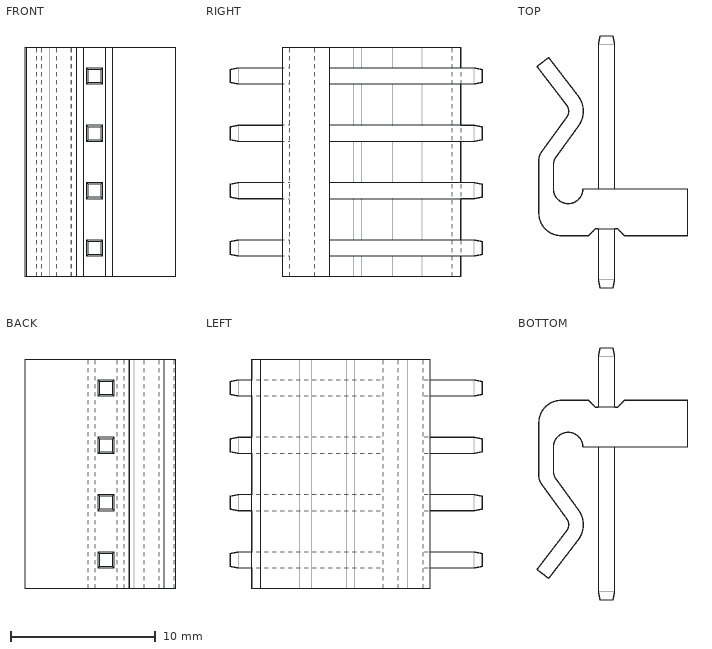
import cadquery as cq
import math


height = 15.83
base_depth = 3.24
base_right = 5.6
arm_left = -4.68
wall = 1.03
heel_radius = 1.57

relief_radius = 1.01
relief_center_x = arm_left + wall + relief_radius
relief_center_y = base_depth

groove_depth = 0.49
groove_floor_width = 1.53
groove_mouth_width = 2.47

lower_angle = math.radians(36.0)
upper_angle = math.radians(37.5)
lower_bend_y = 5.53
upper_bend_y = 8.61
tip_y = 11.7
lower_bend_radius = 0.94
upper_bend_radius = 0.7

pin_count = 4
pin_pitch = height / pin_count
pin_width = 1.13
pin_tip_width = 0.9
pin_taper = 0.57
pin_length = 17.4
pin_front = -3.6


def make_base():
    """Base block with the groove in front and the relief at the back."""
    floor = groove_floor_width / 2
    mouth = groove_mouth_width / 2
    base = (
        cq.Workplane("XY")
        .moveTo(arm_left, 0)
        .lineTo(-mouth, 0)
        .lineTo(-floor, groove_depth)
        .lineTo(floor, groove_depth)
        .lineTo(mouth, 0)
        .lineTo(base_right, 0)
        .lineTo(base_right, base_depth)
        .lineTo(arm_left, base_depth)
        .close()
        .extrude(height)
        .edges("|Z and <X and <Y")
        .fillet(heel_radius)
    )
    relief = (
        cq.Workplane("XY")
        .center(relief_center_x, relief_center_y)
        .circle(relief_radius)
        .extrude(height)
    )
    return base.cut(relief)


def make_arm():
    """Constant-thickness strip with a bend to the right, then one to the left."""
    apex_x = arm_left + (upper_bend_y - lower_bend_y) * math.tan(lower_angle)
    tip_x = apex_x - (tip_y - upper_bend_y) * math.tan(upper_angle)

    lower_half = lower_angle / 2
    upper_half = (lower_angle + upper_angle) / 2
    upper_tilt = (upper_angle - lower_angle) / 2
    upper_miter = wall / math.cos(upper_half)

    lower_left = (arm_left, lower_bend_y)
    lower_right = (arm_left + wall, lower_bend_y - wall * math.tan(lower_half))
    upper_left = (apex_x, upper_bend_y)
    upper_right = (
        apex_x + upper_miter * math.cos(upper_tilt),
        upper_bend_y + upper_miter * math.sin(upper_tilt),
    )
    tip_left = (tip_x, tip_y)
    tip_right = (
        tip_x + wall * math.cos(upper_angle),
        tip_y + wall * math.sin(upper_angle),
    )
    arm = (
        cq.Workplane("XY")
        .moveTo(arm_left, base_depth)
        .lineTo(*lower_left)
        .lineTo(*upper_left)
        .lineTo(*tip_left)
        .lineTo(*tip_right)
        .lineTo(*upper_right)
        .lineTo(*lower_right)
        .lineTo(arm_left + wall, base_depth)
        .close()
        .extrude(height)
    )
    bends = [
        (lower_left, lower_bend_radius),
        (lower_right, lower_bend_radius),
        (upper_left, upper_bend_radius),
        (upper_right, upper_bend_radius + wall),
    ]
    for (x, y), radius in bends:
        corner = cq.NearestToPointSelector((x, y, height / 2))
        arm = arm.edges(corner).fillet(radius)
    return arm


def make_pin(z):
    """Square pin along Y, tapered at both ends."""
    shaft_front = pin_front + pin_taper
    shaft_length = pin_length - 2 * pin_taper
    shaft_back = shaft_front + shaft_length

    pin = (
        cq.Workplane("XZ", origin=(0, shaft_back, z))
        .rect(pin_width, pin_width)
        .extrude(shaft_length)
    )
    taper_angle = math.degrees(math.atan((pin_width - pin_tip_width) / 2 / pin_taper))
    for y, direction in ((shaft_front, 1), (shaft_back, -1)):
        tip = (
            cq.Workplane(cq.Plane((0, y, z), (1, 0, 0), (0, -direction, 0)))
            .rect(pin_width, pin_width)
            .extrude(pin_taper, taper=taper_angle)
        )
        pin = pin.union(tip)
    return pin


result = make_base().union(make_arm())
for index in range(pin_count):
    result = result.union(make_pin((index + 0.5) * pin_pitch))